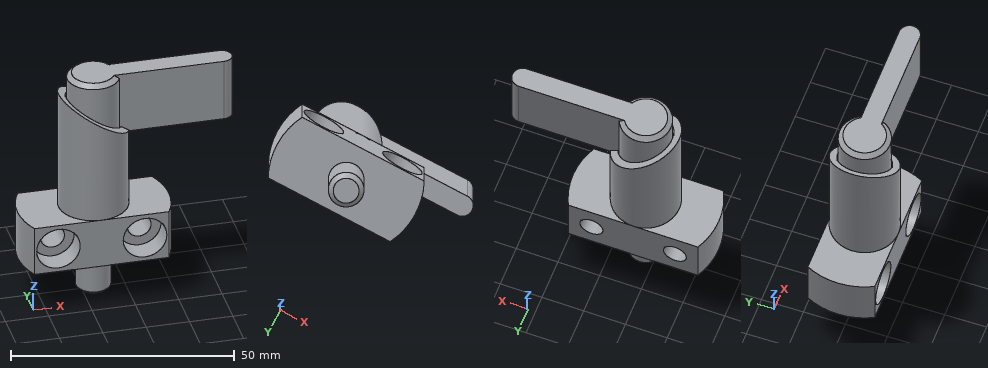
import cadquery as cq


block_length = 34.95
body_width = 16.0
block_height = 12.0
sleeve_peak = 41.4
sleeve_low = 30.95
bore_diameter = 12.55

screw_spacing = 20.0
screw_diameter = 5.5
counterbore_diameter = 10.0
counterbore_depth = 5.5

pin_diameter = 8.0
pin_tip = -10.0
knob_diameter = 12.0
knob_top = 46.0
chamfer_radial = 1.1
chamfer_axial = 1.0
lever_reach = 32.05
lever_thickness = 5.0
lever_bottom = sleeve_low


def make_block():
    """Rectangular block whose two ends follow a circle about the spindle axis."""
    disc = cq.Workplane("XY").circle(block_length / 2).extrude(block_height)
    slab = cq.Workplane("XY").rect(block_length, body_width).extrude(block_height)
    return disc.intersect(slab)


def make_sleeve():
    """Round sleeve with its rim cut on a slant, falling towards +X."""
    radius = body_width / 2
    sleeve = cq.Workplane("XY").circle(radius).extrude(sleeve_peak)
    side_profile = (
        cq.Workplane("XZ")
        .moveTo(-radius, 0)
        .lineTo(radius, 0)
        .lineTo(radius, sleeve_low)
        .lineTo(-radius, sleeve_peak)
        .close()
        .extrude(radius, both=True)
    )
    return sleeve.intersect(side_profile)


def make_screw_holes():
    """Cutting tool for the two screw holes, counterbored from the -Y face."""
    centers = [(-screw_spacing / 2, block_height / 2), (screw_spacing / 2, block_height / 2)]
    front = cq.Workplane("XZ", origin=(0, -body_width / 2, 0)).pushPoints(centers)
    through_holes = front.circle(screw_diameter / 2).extrude(-body_width)
    counterbores = front.circle(counterbore_diameter / 2).extrude(-counterbore_depth)
    return through_holes.union(counterbores)


def make_lever():
    """Flat lever from the spindle axis to a fully rounded tip at +X."""
    half_thickness = lever_thickness / 2
    tip_center = lever_reach - half_thickness
    return (
        cq.Workplane("XY", origin=(0, 0, lever_bottom))
        .moveTo(0, -half_thickness)
        .lineTo(tip_center, -half_thickness)
        .threePointArc((lever_reach, 0), (tip_center, half_thickness))
        .lineTo(0, half_thickness)
        .close()
        .extrude(knob_top - lever_bottom)
    )


def make_housing():
    bore = (
        cq.Workplane("XY", origin=(0, 0, block_height))
        .circle(bore_diameter / 2)
        .extrude(sleeve_peak - block_height)
    )
    pin_hole = cq.Workplane("XY").circle(pin_diameter / 2).extrude(block_height)
    housing = make_block().union(make_sleeve())
    return housing.cut(make_screw_holes()).cut(bore).cut(pin_hole).cut(make_lever())


def make_spindle():
    """Stepped, chamfered spindle seated on the bottom of the bore, with its lever."""
    pin_radius = pin_diameter / 2
    knob_radius = knob_diameter / 2
    shaft = (
        cq.Workplane("XZ")
        .moveTo(0, pin_tip)
        .lineTo(pin_radius - chamfer_radial, pin_tip)
        .lineTo(pin_radius, pin_tip + chamfer_axial)
        .lineTo(pin_radius, block_height)
        .lineTo(knob_radius, block_height)
        .lineTo(knob_radius, knob_top - chamfer_axial)
        .lineTo(knob_radius - chamfer_radial, knob_top)
        .lineTo(0, knob_top)
        .close()
        .revolve(360, (0, 0), (0, 1))
    )
    return shaft.union(make_lever())


housing = make_housing()
spindle = make_spindle()

result = cq.Compound.makeCompound([housing.solids().val(), spindle.solids().val()])